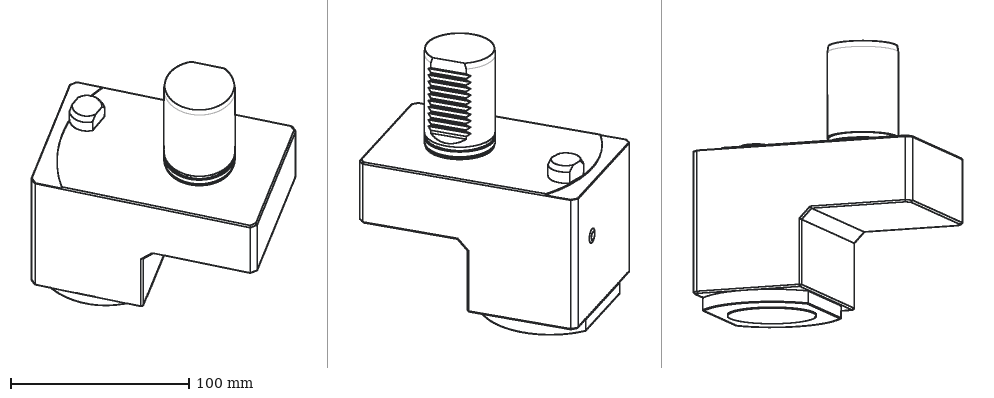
import cadquery as cq


OVERLAP = 1.5

HOUSING_LEFT = -87.0
HOUSING_RIGHT = 45.0
HOUSING_DEPTH = 84.0
ARM_HEIGHT = 38.0
LEG_HEIGHT = 82.0
LEG_WIDTH = 66.0
INNER_CORNER = 6.0
CORNER_CHAMFER = 3.2
LOWER_CHAMFER = 1.0
TOP_CHAMFER = 0.9
SEAT_RADIUS = 80.0
SEAT_STEP = 0.6

SHANK_DIAMETER = 40.0
SHANK_LENGTH = 60.0
SHANK_END_DIAMETER = 39.0
SHANK_END_HEIGHT = 3.3
NECK_DIAMETER = 39.0
NECK_HEIGHT = 0.9
NECK_TOP = 2.0
SEAL_RING_DIAMETER = 36.5
SEAL_TUBE_DIAMETER = 3.0
SEAL_HEIGHT = 6.5
FLAT_OFFSET = 17.0
FLAT_BOTTOM = 12.8
TOOTH_PITCH = SHANK_LENGTH / 15
TOOTH_DEPTH = 1.5
TOOTH_GAPS = 10
FIRST_GAP_HEIGHT = 4 * TOOTH_PITCH

PIN_X = -70.0
PIN_Y = 15.0
PIN_DIAMETER = 20.1
PIN_HEIGHT = 10.0
PIN_FLATS = 15.3
PIN_TURN = 15.0
PIN_TAPER_HEIGHT = 3.2
PIN_TAPER_INSET = 1.8

FLANGE_X = -54.8
FLANGE_DIAMETER = 81.8
FLANGE_WIDTH = 63.5
FLANGE_BOTTOM = -89.4
FLANGE_CHAMFER = 0.5
SPIGOT_DIAMETER = 50.0
SPIGOT_BOTTOM = -90.0

NOZZLE_Y = 17.7
NOZZLE_Z = -33.3
NOZZLE_DIAMETER = 8.4
NOZZLE_TIP_DIAMETER = 5.0
NOZZLE_HEIGHT = 0.6


def cylinder(diameter, bottom, top, x=0.0, y=0.0):
    return cq.Workplane("XY", origin=(x, y, bottom)).circle(diameter / 2).extrude(top - bottom)


def make_housing():
    leg_right = HOUSING_LEFT + LEG_WIDTH
    outline = [
        (HOUSING_LEFT, 0),
        (HOUSING_RIGHT, 0),
        (HOUSING_RIGHT, -ARM_HEIGHT),
        (leg_right + INNER_CORNER, -ARM_HEIGHT),
        (leg_right, -ARM_HEIGHT - INNER_CORNER),
        (leg_right, -LEG_HEIGHT),
        (HOUSING_LEFT, -LEG_HEIGHT),
    ]
    block = cq.Workplane("XZ").polyline(outline).close().extrude(HOUSING_DEPTH / 2, both=True)
    block = block.faces("<X or >X").edges("|Z").chamfer(CORNER_CHAMFER)

    sides = block.faces("<Y or >Y").edges("not (<X or >X or >Z)")
    foot = block.faces("<Z").edges()
    underside = block.faces("<Z[1]").edges("not <X")
    block = sides.add(foot).add(underside).chamfer(LOWER_CHAMFER)
    block = block.faces(">Z").edges().chamfer(TOP_CHAMFER)

    beyond_seat = cq.Workplane("XY", origin=(0, 0, -SEAT_STEP)).rect(-2 * HOUSING_LEFT, HOUSING_DEPTH)
    beyond_seat = beyond_seat.extrude(SEAT_STEP).cut(cylinder(2 * SEAT_RADIUS, -SEAT_STEP, 0))
    return block.cut(beyond_seat)


def cross_bar(outline):
    """Bar along X across the whole shank, from an outline of (y, z) points."""
    return cq.Workplane("YZ").polyline(outline).close().extrude(SHANK_DIAMETER / 2, both=True)


def make_shank():
    radius = SHANK_DIAMETER / 2
    groove_radius = SEAL_RING_DIAMETER / 2
    seal_radius = SEAL_TUBE_DIAMETER / 2
    shank = (
        cq.Workplane("XZ")
        .moveTo(0, -OVERLAP)
        .lineTo(NECK_DIAMETER / 2, -OVERLAP)
        .lineTo(NECK_DIAMETER / 2, NECK_HEIGHT)
        .lineTo(radius, NECK_TOP)
        .lineTo(radius, SEAL_HEIGHT - seal_radius)
        .lineTo(groove_radius, SEAL_HEIGHT - seal_radius)
        .threePointArc((groove_radius + seal_radius, SEAL_HEIGHT), (groove_radius, SEAL_HEIGHT + seal_radius))
        .lineTo(radius, SEAL_HEIGHT + seal_radius)
        .lineTo(radius, SHANK_LENGTH - SHANK_END_HEIGHT)
        .lineTo(SHANK_END_DIAMETER / 2, SHANK_LENGTH)
        .lineTo(0, SHANK_LENGTH)
        .close()
        .revolve(360, (0, 0), (0, 1))
    )

    run_out = radius - FLAT_OFFSET
    flat = [
        (FLAT_OFFSET, FLAT_BOTTOM),
        (radius, FLAT_BOTTOM - run_out),
        (radius, SHANK_LENGTH),
        (FLAT_OFFSET, SHANK_LENGTH),
    ]
    shank = shank.cut(cross_bar(flat))

    for index in range(TOOTH_GAPS):
        height = FIRST_GAP_HEIGHT + index * TOOTH_PITCH
        gap = [
            (FLAT_OFFSET - TOOTH_DEPTH, height),
            (FLAT_OFFSET, height + TOOTH_DEPTH),
            (FLAT_OFFSET, height - TOOTH_DEPTH),
        ]
        shank = shank.cut(cross_bar(gap))
    return shank


def make_pin():
    pin = cylinder(PIN_DIAMETER, -OVERLAP, PIN_HEIGHT)
    pin = pin.faces(">Z").chamfer(PIN_TAPER_HEIGHT, PIN_TAPER_INSET)
    between_flats = cq.Workplane("XY").box(PIN_FLATS, PIN_DIAMETER, 2 * PIN_HEIGHT)
    pin = pin.intersect(between_flats).rotate((0, 0, 0), (0, 0, 1), -PIN_TURN)
    return pin.translate((PIN_X, PIN_Y, 0))


def make_flange():
    flange = cylinder(FLANGE_DIAMETER, FLANGE_BOTTOM, -LEG_HEIGHT, FLANGE_X)
    between_flats = (
        cq.Workplane("XY", origin=(FLANGE_X, 0, FLANGE_BOTTOM))
        .rect(FLANGE_WIDTH, FLANGE_DIAMETER)
        .extrude(-LEG_HEIGHT - FLANGE_BOTTOM)
    )
    flange = flange.intersect(between_flats).faces("<Z").chamfer(FLANGE_CHAMFER)
    spigot = cylinder(SPIGOT_DIAMETER, SPIGOT_BOTTOM, -LEG_HEIGHT, FLANGE_X)
    return flange.union(spigot)


def make_nozzle():
    return (
        cq.Workplane("YZ", origin=(HOUSING_LEFT, NOZZLE_Y, NOZZLE_Z))
        .circle(NOZZLE_DIAMETER / 2)
        .workplane(offset=-NOZZLE_HEIGHT)
        .circle(NOZZLE_TIP_DIAMETER / 2)
        .loft()
    )


result = make_housing()
for piece in (make_shank(), make_pin(), make_flange(), make_nozzle()):
    result = result.union(piece)